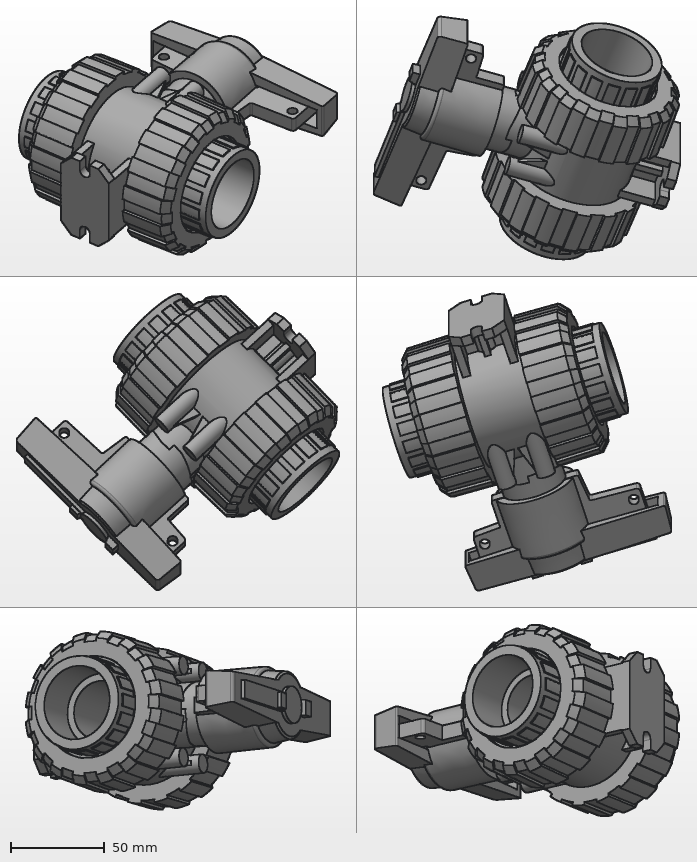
import cadquery as cq


body_diameter = 64.1
bore_diameter = 32.0
pipe_half_length = 60.8
pipe_diameter = 50.7
socket_diameter = 40.0
socket_depth = 26.0
pipe_rib_count = 16
pipe_rib_angle = 15
pipe_rib_height = 0.68
pipe_rib_end_x = 56.7

nut_inner_x = 18.2
nut_chamfer_x = 42.2
nut_outer_x = 46.1
nut_inner_radius = 42.0
nut_taper = 0.5
nut_chamfer_height = 4.2
nut_tooth_height = 1.7
nut_tooth_count = 16
nut_recess_diameter = 55.4
nut_recess_depth = 3

stem_diameter = 35.0
stem_top_y = 66.7
neck_diameter = 34.8
neck_flat_half_width = 16.0
cam_low_y = 38.9
cam_high_y = 42.4
cam_ramp_half_width = 7.4

post_diameter = 10.1
post_x = 10.9
post_z = 25.0
post_end_y = 37.7
gusset_thickness = 2.4
gusset_foot_y = 18.6
gusset_tip_y = 33.3
gusset_foot_x = 0.9
gusset_tip_x = 5.9

hub_bottom_y = 51.1
hub_bottom_radius = 22.1
hub_shoulder_y = 83.2
hub_shoulder_radius = 21.8
hub_shoulder_round = 2.0
hub_neck_radius = 19.5
hub_edge_y = 95.3
hub_edge_radius = 18.3
hub_face_radius = 17.0
hub_slot_width = 10.1
cap_diameter = 20.0
cap_top_y = 98.3
bar_bottom_y = 78.4
bar_end_y = 79.7
bar_top_y = 96.2
bar_left_x = -48.3
bar_right_x = 64.1
bar_end_draft = 1.4
bar_corner_radius = 1.8
bar_rim_radius = 1.0
bar_wall = 2.1
bar_right_wall = 4.0
bar_half_height = 14.7
bar_end_slope = 0.07
bar_side_slope = 0.12
bar_cavity_height = 12.4

insert_thickness = 8.3
insert_left_x = -40.0
insert_right_x = 53.4
insert_end_y = 68
insert_step_y = 67.0
insert_leg_x = 24.4
insert_leg_draft = 1.7
insert_tab_radius = 1.8
insert_leg_radius = 1.0
lock_hole_diameter = 5.5
lock_hole_inset = 4.8
lock_hole_y = 73.7
strip_start_x = 9.1
strip_width = 10.1
hook_outer_x = 16.6
hook_tip_x = 10.9
hook_root_x = 9.1
hook_top_y = 100.3

foot_bottom_y = -51.0
foot_thickness = 5.3
foot_width = 31.2
foot_length = 52.0
foot_chamfer = 6.8
foot_slot_width = 6.4
foot_slot_depth = 9.2
leg_thickness = 4.4
leg_length = 37.5
web_thickness = 4.4
boss_diameter = 10.7
rib_thickness = 3.5
rib_length = 19.4


def cylinder_x(diameter, x_start, x_end):
    axis = cq.Vector(1, 0, 0)
    start = cq.Vector(x_start, 0, 0)
    return cq.Workplane(cq.Solid.makeCylinder(diameter / 2, x_end - x_start, start, axis))


def cylinder_y(diameter, y_start, y_end, x=0, z=0):
    axis = cq.Vector(0, 1, 0)
    start = cq.Vector(x, y_start, z)
    return cq.Workplane(cq.Solid.makeCylinder(diameter / 2, y_end - y_start, start, axis))


def block(x_size, z_size, y_start, y_end, x=0):
    middle_y = (y_start + y_end) / 2
    return cq.Workplane().box(x_size, y_end - y_start, z_size).translate((x, middle_y, 0))


def plate_xy(points, thickness):
    return cq.Workplane().polyline(points).close().extrude(thickness / 2, both=True)


def turn_about_x(points, angle=360):
    return cq.Workplane().polyline(points).close().revolve(angle, (0, 0, 0), (1, 0, 0))


def pipe_ribs():
    """Raised pads round the +X pipe end."""
    inner = (pipe_diameter + socket_diameter) / 4
    outer = pipe_diameter / 2 + pipe_rib_height
    start = nut_outer_x - nut_recess_depth
    profile = [(start, inner), (pipe_rib_end_x, inner), (pipe_rib_end_x, outer), (start, outer)]
    rib = turn_about_x(profile, pipe_rib_angle).rotate((0, 0, 0), (1, 0, 0), -pipe_rib_angle / 2)
    ribs = cq.Workplane()
    for i in range(pipe_rib_count):
        ribs = ribs.add(rib.rotate((0, 0, 0), (1, 0, 0), i * 360 / pipe_rib_count))
    return ribs.combine()


def nut_profile(drop):
    """Half section of the +X nut, with its outside lowered by drop."""
    top = nut_inner_radius - drop
    return [
        (nut_inner_x, 0),
        (nut_inner_x, top),
        (nut_chamfer_x, top - nut_taper),
        (nut_outer_x, top - nut_taper - nut_chamfer_height),
        (nut_outer_x, 0),
    ]


def union_nut():
    """+X nut: raised grip teeth over a plain core, recessed round the pipe."""
    pitch = 360 / nut_tooth_count
    tooth = turn_about_x(nut_profile(0), pitch / 2).rotate((0, 0, 0), (1, 0, 0), pitch / 4)
    nut = turn_about_x(nut_profile(nut_tooth_height))
    for i in range(nut_tooth_count):
        nut = nut.union(tooth.rotate((0, 0, 0), (1, 0, 0), i * pitch))
    recess = cylinder_x(nut_recess_diameter, nut_outer_x - nut_recess_depth, nut_outer_x)
    return nut.cut(recess)


def pipe_end():
    pipe = cylinder_x(pipe_diameter, 0, pipe_half_length)
    return union_nut().union(pipe).union(pipe_ribs())


def flow_passage():
    passage = cylinder_x(bore_diameter, -pipe_half_length, pipe_half_length)
    socket = cylinder_x(socket_diameter, pipe_half_length - socket_depth, pipe_half_length)
    return passage.union(socket).union(socket.mirror("YZ"))


def stem_quadrant():
    """Quarter of the stem, centred on +Z, whose lower end is a cam ramp."""
    radius = stem_diameter / 2
    outline = [
        (radius, stem_top_y),
        (radius, cam_low_y),
        (cam_ramp_half_width, cam_low_y),
        (-cam_ramp_half_width, cam_high_y),
        (-radius, cam_high_y),
        (-radius, stem_top_y),
    ]
    ramp = cq.Workplane().polyline(outline).close().extrude(radius)
    quadrant = cq.Workplane("XZ").rect(radius, radius, centered=False).extrude(-stem_top_y)
    quadrant = quadrant.rotate((0, 0, 0), (0, 1, 0), -45)
    return ramp.intersect(quadrant).intersect(cylinder_y(stem_diameter, 0, stem_top_y))


def stem():
    """Flatted neck with the stem above it, stepped by a cam ramp in each quadrant."""
    neck = cylinder_y(neck_diameter, 0, cam_high_y)
    neck = neck.intersect(block(2 * neck_flat_half_width, neck_diameter, 0, cam_high_y))
    quadrant = stem_quadrant()
    stepped = quadrant.rotate((0, 0, 0), (0, 1, 0), 45)
    for angle in (135, 225, 315):
        stepped = stepped.union(quadrant.rotate((0, 0, 0), (0, 1, 0), angle))
    return neck.union(stepped)


def stop_posts():
    """Posts at both sides of the neck, each with a slanted gusset."""
    outline = [
        (gusset_foot_x, gusset_foot_y),
        (gusset_tip_x, gusset_tip_y),
        (post_x, gusset_tip_y),
        (post_x, 0),
        (gusset_foot_x, 0),
    ]
    gusset = plate_xy(outline, gusset_thickness).translate((0, 0, post_z))
    post = cylinder_y(post_diameter, 0, post_end_y, post_x, post_z).union(gusset)
    pair = post.union(post.mirror("YZ"))
    return pair.union(pair.mirror("XY"))


def hub():
    """Turned grip hub with a slot for the insert and a cap on its end."""
    rounded_radius = hub_shoulder_radius - hub_shoulder_round
    neck_y = hub_shoulder_y + hub_shoulder_round
    outline = (
        cq.Workplane()
        .moveTo(0, hub_bottom_y)
        .lineTo(hub_bottom_radius, hub_bottom_y)
        .lineTo(hub_shoulder_radius, hub_shoulder_y)
        .radiusArc((rounded_radius, neck_y), -hub_shoulder_round)
        .lineTo(hub_neck_radius, neck_y)
        .lineTo(hub_edge_radius, hub_edge_y)
        .lineTo(hub_face_radius, bar_top_y)
        .lineTo(cap_diameter / 2, bar_top_y)
        .lineTo(cap_diameter / 2, cap_top_y)
        .lineTo(0, cap_top_y)
        .close()
    )
    turned = outline.revolve(360, (0, 0, 0), (0, 1, 0))
    return turned.cut(block(2 * hub_bottom_radius, hub_slot_width, hub_bottom_y, bar_end_y))


def bar_section(x):
    """Wire of the bar's cross section at x: narrower toward the tip and toward +Y."""
    low_half = bar_half_height - bar_end_slope * abs(x)
    high_half = low_half - bar_side_slope * (bar_top_y - bar_bottom_y)
    corners = [
        (x, bar_bottom_y, -low_half),
        (x, bar_bottom_y, low_half),
        (x, bar_top_y, high_half),
        (x, bar_top_y, -high_half),
    ]
    return cq.Wire.makePolygon([cq.Vector(*corner) for corner in corners], close=True)


def bar():
    """Handle bar, hollow and open toward the body."""
    outline = [
        (bar_left_x, bar_end_y),
        (0, bar_bottom_y),
        (bar_right_x, bar_end_y),
        (bar_right_x - bar_end_draft, bar_top_y),
        (bar_left_x + bar_end_draft, bar_top_y),
    ]
    left = cq.Solid.makeLoft([bar_section(bar_left_x), bar_section(0)], True)
    right = cq.Solid.makeLoft([bar_section(0), bar_section(bar_right_x)], True)
    side = plate_xy(outline, 2 * bar_half_height)
    side = side.edges("|Z").edges(">Y").fillet(bar_corner_radius)
    side = side.edges("|Z").edges("<X or >X").fillet(bar_rim_radius)
    cavity_left_x = bar_left_x + bar_wall
    cavity_right_x = bar_right_x - bar_right_wall
    cavity_length = cavity_right_x - cavity_left_x
    cavity_x = (cavity_left_x + cavity_right_x) / 2
    cavity = block(cavity_length, bar_cavity_height, bar_bottom_y, bar_top_y - bar_wall, cavity_x)
    return cq.Workplane(left).union(cq.Workplane(right)).intersect(side).cut(cavity)


def insert():
    """Flat locking insert with two padlock holes, an end strip and two hooks."""
    outline = [
        (insert_left_x, bar_top_y),
        (insert_left_x, insert_end_y),
        (-insert_leg_x, insert_step_y),
        (-insert_leg_x, hub_bottom_y),
        (insert_leg_x, hub_bottom_y),
        (insert_leg_x + insert_leg_draft, insert_step_y),
        (insert_right_x, insert_end_y),
        (insert_right_x, bar_top_y),
    ]
    plate = plate_xy(outline, insert_thickness)
    for x in (insert_left_x, insert_right_x):
        plate = plate.edges(cq.NearestToPointSelector((x, insert_end_y, 0))).fillet(insert_tab_radius)
    right_step = (insert_leg_x + insert_leg_draft, insert_step_y, 0)
    for corner in ((-insert_leg_x, hub_bottom_y, 0), (insert_leg_x, hub_bottom_y, 0), right_step):
        plate = plate.edges(cq.NearestToPointSelector(corner)).fillet(insert_leg_radius)
    for x in (insert_left_x + lock_hole_inset, insert_right_x - lock_hole_inset):
        hole = cq.Workplane().center(x, lock_hole_y).circle(lock_hole_diameter / 2)
        plate = plate.cut(hole.extrude(insert_thickness, both=True))
    strip_length = insert_right_x - strip_start_x
    strip = block(strip_length, strip_width, bar_top_y, cap_top_y, strip_start_x + strip_length / 2)
    hook_outline = [
        (hook_outer_x, bar_top_y),
        (hook_outer_x, hook_top_y),
        (hook_tip_x, hook_top_y),
        (hook_root_x, bar_top_y),
    ]
    hook = plate_xy(hook_outline, insert_thickness)
    return plate.union(strip).union(hook).union(hook.mirror("YZ"))


def mounting_foot():
    """Slotted foot plate carried by two legs, a web, a boss and a rib."""
    top_y = foot_bottom_y + foot_thickness
    plate = block(foot_width, foot_length, foot_bottom_y, top_y).edges("|Y").chamfer(foot_chamfer)
    slot_z = foot_length / 2 - foot_slot_depth + foot_slot_width / 2
    slot = cylinder_y(foot_slot_width, foot_bottom_y, top_y, 0, slot_z)
    slot_mouth = block(foot_slot_width, foot_length, foot_bottom_y, top_y)
    slot = slot.union(slot_mouth.translate((0, 0, slot_z + foot_length / 2)))
    plate = plate.cut(slot).cut(slot.mirror("XY"))
    leg = block(leg_thickness, leg_length, top_y, 0, (foot_width - leg_thickness) / 2)
    web = block(foot_width, web_thickness, top_y, 0)
    rib = block(rib_thickness, rib_length, top_y, 0)
    boss = cylinder_y(boss_diameter, top_y, 0)
    return plate.union(leg).union(leg.mirror("YZ")).union(web).union(rib).union(boss)


right_end = pipe_end()
valve = (
    cylinder_x(body_diameter, -nut_inner_x, nut_inner_x)
    .union(right_end)
    .union(right_end.mirror("YZ"))
    .union(stop_posts())
    .union(mounting_foot())
    .union(hub())
    .union(bar())
    .union(stem())
    .union(insert())
    .cut(flow_passage())
)
result = valve.solids()